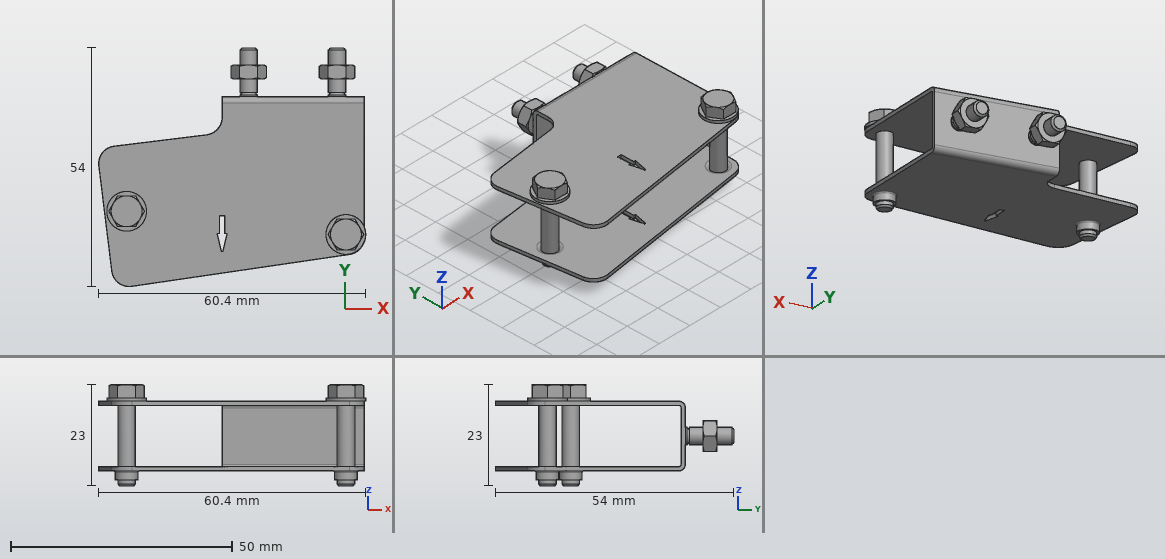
import cadquery as cq
import math


sheet = 1.0
bracket_height = 15.8
bend_radius = 1.5
web_width = 32.2
skew_angle = math.radians(7.0)
front_edge_angle = math.radians(8.33)
notch_depth = 8.21
wing_length = 28.61
wing_side_length = 32.09
corner_radius = 4.0
outline_reach = 60.0

arrow_tail_y = -27.0
arrow_length = 8.0
arrow_head_length = 4.0
arrow_shaft_width = 1.15
arrow_head_width = 2.2
arrow_tip_width = 0.3

thread_radius = 2.0
tip_length = 0.5
hex_across_flats = 7.0
hex_chamfer_angle = math.radians(30.0)

bolt_positions = [(-21.6, -25.95), (28.0, -31.2)]
washer_radius = 4.5
washer_thickness = 0.75
head_height = 3.0
bolt_tip_drop = 3.4
bolt_tip_radius = 1.65

collar_radius = 2.6
collar_height = 2.0
collar_root_fillet = 0.3
collar_mouth_radius = 1.0

stud_positions = [6.0, 26.0]
stud_length = 11.0
stud_tip_radius = 1.5
stud_foot_length = 0.3
stud_neck_end = 0.9
stud_neck_radius = 1.5
nut_thickness = 3.2
nut_offset = 3.95

half_height = bracket_height / 2


def make_rounded_block(inset, rear_radius):
    """Block filling the bend section, inset from its rear, top and bottom, with rounded rear edges."""
    return (
        cq.Workplane("YZ")
        .rect(2 * outline_reach, bracket_height - 2 * inset)
        .extrude(outline_reach, both=True)
        .translate((0, -outline_reach - inset, 0))
        .edges("|X and >Y")
        .fillet(rear_radius)
    )


def make_bracket():
    """U-shaped sheet profile trimmed to the skewed plan outline."""
    channel = make_rounded_block(0, bend_radius).cut(make_rounded_block(sheet, bend_radius - sheet))

    notch = (0, -notch_depth)
    wing_back = (
        notch[0] - wing_length * math.cos(skew_angle),
        notch[1] - wing_length * math.sin(skew_angle),
    )
    wing_front = (
        wing_back[0] + wing_side_length * math.sin(skew_angle),
        wing_back[1] - wing_side_length * math.cos(skew_angle),
    )
    front_rise = (web_width - wing_front[0]) * math.tan(front_edge_angle)
    front_right = (web_width, wing_front[1] + front_rise)
    outline = (
        cq.Workplane("XY")
        .polyline([(0, 0), notch, wing_back, wing_front, front_right, (web_width, 0)])
        .close()
        .extrude(half_height, both=True)
    )
    for corner in (notch, wing_back, wing_front, front_right):
        outline = outline.edges(cq.NearestToPointSelector((*corner, 0))).fillet(corner_radius)
    return channel.intersect(outline)


def make_arrow():
    """Arrow prism passing through both plates."""
    neck_y = arrow_tail_y - arrow_length + arrow_head_length
    return (
        cq.Workplane("XY")
        .moveTo(0, arrow_tail_y)
        .lineTo(arrow_shaft_width / 2, arrow_tail_y)
        .lineTo(arrow_shaft_width / 2, neck_y)
        .lineTo(arrow_head_width / 2, neck_y)
        .lineTo(arrow_tip_width / 2, arrow_tail_y - arrow_length)
        .lineTo(0, arrow_tail_y - arrow_length)
        .mirrorY()
        .extrude(half_height, both=True)
    )


def revolve_profile(points):
    """Solid of revolution about Z from (radius, height) points."""
    return cq.Workplane("XZ").polyline(points).close().revolve(360, (0, 0), (0, 1))


def make_hex(height, chamfer_base):
    """Hexagon standing on Z = 0 with corners chamfered at the top and optionally at the base."""
    corner = hex_across_flats / 2 / math.cos(math.pi / 6)
    flat = hex_across_flats / 2
    drop = (corner - flat) * math.tan(hex_chamfer_angle)
    base = [(0, 0), (flat, 0), (corner, drop)] if chamfer_base else [(0, 0), (corner, 0)]
    envelope = revolve_profile(base + [(corner, height - drop), (flat, height), (0, height)])
    return cq.Workplane("XY").polygon(6, 2 * corner).extrude(height).intersect(envelope)


def make_bolt():
    """Clamp bolt with its washer, along Z at the origin."""
    washer_top = half_height + washer_thickness
    tip = -half_height - bolt_tip_drop
    washer = cq.Workplane("XY").workplane(offset=half_height).circle(washer_radius).extrude(washer_thickness)
    head = make_hex(head_height, False).translate((0, 0, washer_top))
    shank = revolve_profile([
        (0, washer_top),
        (thread_radius, washer_top),
        (thread_radius, tip + tip_length),
        (bolt_tip_radius, tip),
        (0, tip),
    ])
    return shank.union(washer).union(head)


def make_collar():
    """Drawn collar below the lower plate, flared into its underside."""
    plate_under = -half_height
    bottom = plate_under - collar_height
    diagonal = collar_root_fillet * (1 - math.sqrt(0.5))
    return (
        cq.Workplane("XZ")
        .moveTo(0, plate_under + sheet / 2)
        .lineTo(collar_radius + collar_root_fillet, plate_under + sheet / 2)
        .lineTo(collar_radius + collar_root_fillet, plate_under)
        .threePointArc(
            (collar_radius + diagonal, plate_under - diagonal),
            (collar_radius, plate_under - collar_root_fillet),
        )
        .lineTo(collar_radius, bottom)
        .lineTo(0, bottom)
        .close()
        .revolve(360, (0, 0), (0, 1))
    )


def make_collar_mouth():
    """Rounded hole mouth in the top of the lower plate, narrowing to the bolt."""
    mouth_top = -half_height + sheet
    diagonal = collar_mouth_radius * (1 - math.sqrt(0.5))
    return (
        cq.Workplane("XZ")
        .moveTo(0, mouth_top)
        .lineTo(thread_radius + collar_mouth_radius, mouth_top)
        .threePointArc(
            (thread_radius + diagonal, mouth_top - diagonal),
            (thread_radius, mouth_top - collar_mouth_radius),
        )
        .lineTo(0, mouth_top - collar_mouth_radius)
        .close()
        .revolve(360, (0, 0), (0, 1))
    )


def make_stud():
    """Necked weld stud with its nut, pointing along +Y from the web."""
    root = -sheet / 2
    stud = revolve_profile([
        (0, root),
        (thread_radius, root),
        (thread_radius, stud_foot_length),
        (stud_neck_radius, stud_neck_end),
        (thread_radius, stud_neck_end),
        (thread_radius, stud_length - tip_length),
        (stud_tip_radius, stud_length),
        (0, stud_length),
    ])
    nut = make_hex(nut_thickness, True).translate((0, 0, nut_offset))
    return stud.union(nut).rotate((0, 0, 0), (1, 0, 0), -90)


result = make_bracket().cut(make_arrow())

for x, y in bolt_positions:
    place = (x, y, 0)
    result = result.union(make_collar().translate(place))
    result = result.cut(make_collar_mouth().translate(place))
    result = result.union(make_bolt().translate(place))

for x in stud_positions:
    result = result.union(make_stud().translate((x, 0, 0)))